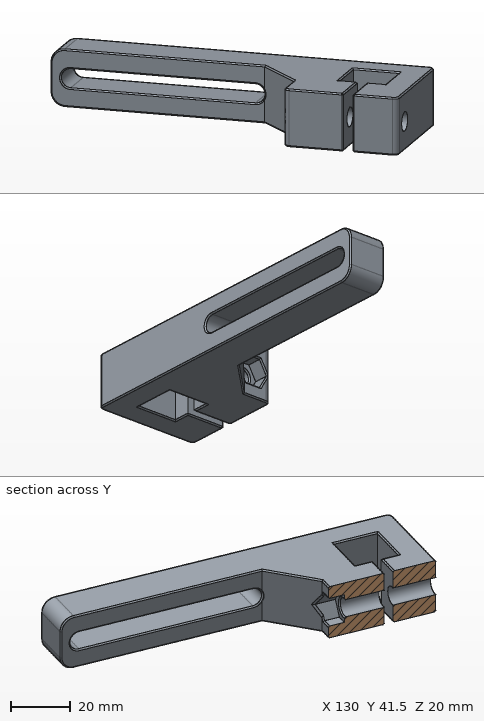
import cadquery as cq
import math

length = 130.0
depth = 41.5
height = 20.0
left = -length / 2
right = length / 2
back = depth / 2
front = -depth / 2

arm_thickness = 15.0
arm_front = back - arm_thickness
arm_length = 75.0
ramp_start = left + arm_length
ramp_run = 15.0
block_left = ramp_start + ramp_run
ramp_end_y = arm_front - ramp_run
tip_radius = 5.0
corner_radius = 2.0
edge_chamfer = 0.5

slot_width = 6.6
slot_tip_wall = 3.6
slot_start = left + slot_tip_wall
slot_end = ramp_start

window_size = 16.1
window_from_tip = 112.5
window_from_back = 17.5
window_x = left + window_from_tip
window_y = back - window_from_back
slit_width = 3.2

screw_diameter = 6.6
screw_from_front = 7.5
screw_y = front + screw_from_front
nut_across_flats = 10.5
nut_pocket_depth = 6.0


def make_plan_body():
    """Upright prism of the arm, ramp and clamp block with its corners rounded."""
    outline = [
        (left, back),
        (right, back),
        (right, front),
        (block_left, front),
        (block_left, ramp_end_y),
        (ramp_start, arm_front),
        (left, arm_front),
    ]
    body = cq.Workplane("XY").polyline(outline).close().extrude(height / 2, both=True)
    block_corner = cq.selectors.NearestToPointSelector((block_left, front, 0))
    body = body.edges("|Z and >X").fillet(corner_radius)
    body = body.edges(block_corner).fillet(corner_radius)
    return body.edges("|Y and <X").fillet(tip_radius)


def make_clamp_opening():
    """Square window joined to the slit that runs out through the front with a broken-edged mouth."""
    slit_half = slit_width / 2
    mouth_half = slit_half + edge_chamfer
    slit_length = window_y - front
    window = cq.Workplane("XY").center(window_x, window_y).rect(window_size, window_size)
    slit = cq.Workplane("XY").center(window_x, front + slit_length / 2).rect(slit_width, slit_length)
    mouth = cq.Workplane("XY").polyline([
        (window_x - mouth_half, front),
        (window_x + mouth_half, front),
        (window_x + slit_half, front + edge_chamfer),
        (window_x - slit_half, front + edge_chamfer),
    ]).close()
    opening = window.extrude(height, both=True)
    for profile in (slit, mouth):
        opening = opening.union(profile.extrude(height, both=True))
    return opening


def break_outline_edges(body):
    """Chamfer the outlines of the top and bottom faces; the chamfer follows the rounded arm tip."""
    return body.faces(">Z or <Z").edges("not <X").chamfer(edge_chamfer)


def flared_cutter(outline, plain_depth):
    """Cutter sunk from an entry face: straight above the face, a 45 degree flare, then plain depth.

    outline(grow, distance) gives the opening, widened by grow on every side and set
    at that distance from the entry face along the cutting direction.
    """
    entry = outline(edge_chamfer, -edge_chamfer).extrude(edge_chamfer)
    flare = outline(edge_chamfer, 0).extrude(edge_chamfer, taper=45)
    plain = outline(0, 0).extrude(plain_depth)
    return plain.union(entry).union(flare)


def make_slot():
    """Round-ended slot along the arm, chamfered where it opens at the front and the back."""
    slot_x = (slot_start + slot_end) / 2

    def front_outline(grow, distance):
        plane = cq.Plane(origin=(slot_x, arm_front + distance, 0), xDir=(1, 0, 0), normal=(0, 1, 0))
        return cq.Workplane(plane).slot2D(slot_end - slot_start + 2 * grow, slot_width + 2 * grow)

    front_half = flared_cutter(front_outline, arm_thickness / 2)
    back_half = front_half.mirror("XZ", (0, arm_front + arm_thickness / 2, 0))
    return front_half.union(back_half)


def hexagon_corner_radius(across_flats):
    """Distance from the centre of a hexagon to its corners."""
    return across_flats / 2 / math.cos(math.pi / 6)


def nut_hexagon(surface_x, grow):
    """Wire of the nut hexagon projected along X onto the surface x = surface_x(y), grown by grow."""
    reach = hexagon_corner_radius(nut_across_flats + 2 * grow)
    points = []
    for corner in range(6):
        angle = corner * math.pi / 3
        y = screw_y + reach * math.cos(angle)
        z = reach * math.sin(angle)
        points.append(cq.Vector(surface_x(y), y, z))
    return cq.Wire.makePolygon(points, close=True)


def make_rim_flare(surface_x, y_min, y_max):
    """Chamfer of the nut pocket rim on one entry surface, kept between two Y limits."""
    outer = nut_hexagon(surface_x, edge_chamfer)
    inner = nut_hexagon(lambda y: surface_x(y) + edge_chamfer, 0)
    flare = cq.Workplane(cq.Solid.makeLoft([outer, inner], True))
    band_width = y_max - y_min
    band = cq.Workplane("XY").center(block_left, (y_min + y_max) / 2).box(length, band_width, height)
    return flare.intersect(band)


def make_nut_pocket():
    """Hexagonal nut pocket entering through the ramp and the block side, with its rim chamfered."""
    pocket = (
        cq.Workplane("YZ", origin=(ramp_start, screw_y, 0))
        .polygon(6, 2 * hexagon_corner_radius(nut_across_flats))
        .extrude(ramp_run + nut_pocket_depth)
    )
    ramp_flare = make_rim_flare(lambda y: ramp_start + arm_front - y, ramp_end_y, arm_front)
    block_flare = make_rim_flare(lambda y: block_left, front, ramp_end_y)
    return pocket.union(ramp_flare).union(block_flare)


def make_screw_hole():
    """Cross hole through both clamp jaws, chamfered at the floor of the nut pocket."""
    pocket_floor = block_left + nut_pocket_depth

    def outline(grow, distance):
        start = cq.Workplane("YZ", origin=(pocket_floor + distance, screw_y, 0))
        return start.circle(screw_diameter / 2 + grow)

    return flared_cutter(outline, right - pocket_floor)


body = make_plan_body().cut(make_clamp_opening())
body = break_outline_edges(body)
body = body.cut(make_slot())
body = body.cut(make_nut_pocket())
result = body.cut(make_screw_hole())